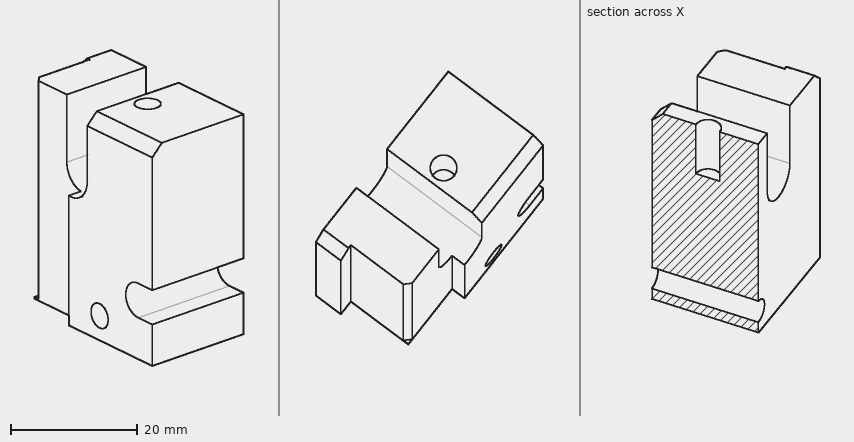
import cadquery as cq

WIDTH = 34.5
DEPTH = 19.0
HEIGHT = 38.3

FLANGE_REACH = 2.6
FLANGE_THICKNESS = 5.0
FRONT_STEP_WIDTH = 14.0
FRONT_STEP_DEPTH = 2.5

TOP_CHAMFER = 2.0
CORNER_CHAMFER = 1.0
CORNER_CHAMFER_START = 0.3

TOP_SLOT_WIDTH = 7.95
TOP_SLOT_X = 14.55
TOP_SLOT_FLOOR = 22.6

SIDE_SLOT_WIDTH = 5.97
SIDE_SLOT_Z = 10.23
SIDE_SLOT_END = 28.0

HOLE_DIAMETER = 4.2
HOLE_X = 21.55
CROSS_HOLE_Z = 4.3
TOP_HOLE_Y = 10.0
TOP_HOLE_DEPTH = 10.0


def box(x, y, z, dx, dy, dz):
    """Box with its minimum corner at (x, y, z)."""
    return cq.Workplane("XY").box(dx, dy, dz, centered=False).translate((x, y, z))


def cylinder_along_y(x, z, diameter):
    """Cylinder through the full depth of the block."""
    return cq.Workplane("XZ").center(x, z).circle(diameter / 2).extrude(-DEPTH)


def stepped_body():
    flange_front = DEPTH - FLANGE_THICKNESS
    outline = [
        (0, DEPTH),
        (0, flange_front),
        (FLANGE_REACH, flange_front),
        (FLANGE_REACH, FRONT_STEP_DEPTH),
        (FRONT_STEP_WIDTH, FRONT_STEP_DEPTH),
        (FRONT_STEP_WIDTH, 0),
        (WIDTH, 0),
        (WIDTH, DEPTH),
    ]
    return cq.Workplane("XY").polyline(outline).close().extrude(HEIGHT)


def flange_chamfer():
    corner = [(0, HEIGHT), (TOP_CHAMFER, HEIGHT), (0, HEIGHT - TOP_CHAMFER)]
    return cq.Workplane("XZ").polyline(corner).close().extrude(-DEPTH)


def front_chamfer():
    corner = [(0, HEIGHT), (TOP_CHAMFER, HEIGHT), (0, HEIGHT - TOP_CHAMFER)]
    return cq.Workplane("YZ").polyline(corner).close().extrude(WIDTH)


def corner_chamfer():
    """Vertical edge chamfer that stops just above the bottom face."""
    x, y = FLANGE_REACH, FRONT_STEP_DEPTH
    corner = [(x, y), (x + CORNER_CHAMFER, y), (x, y + CORNER_CHAMFER)]
    plane = cq.Workplane("XY").workplane(offset=CORNER_CHAMFER_START)
    return plane.polyline(corner).close().extrude(HEIGHT - CORNER_CHAMFER_START)


def top_slot():
    radius = TOP_SLOT_WIDTH / 2
    center_z = TOP_SLOT_FLOOR + radius
    channel = box(TOP_SLOT_X - radius, 0, center_z, TOP_SLOT_WIDTH, DEPTH, HEIGHT - center_z)
    return channel.union(cylinder_along_y(TOP_SLOT_X, center_z, TOP_SLOT_WIDTH))


def side_slot():
    radius = SIDE_SLOT_WIDTH / 2
    center_x = SIDE_SLOT_END + radius
    channel = box(center_x, 0, SIDE_SLOT_Z - radius, WIDTH - center_x, DEPTH, SIDE_SLOT_WIDTH)
    return channel.union(cylinder_along_y(center_x, SIDE_SLOT_Z, SIDE_SLOT_WIDTH))


def top_hole():
    """Blind hole with a flat floor, drilled down from the top face."""
    plane = cq.Workplane("XY").workplane(offset=HEIGHT)
    return plane.center(HOLE_X, TOP_HOLE_Y).circle(HOLE_DIAMETER / 2).extrude(-TOP_HOLE_DEPTH)


result = (
    stepped_body()
    .cut(flange_chamfer())
    .cut(front_chamfer())
    .cut(corner_chamfer())
    .cut(top_slot())
    .cut(side_slot())
    .cut(cylinder_along_y(HOLE_X, CROSS_HOLE_Z, HOLE_DIAMETER))
    .cut(top_hole())
)